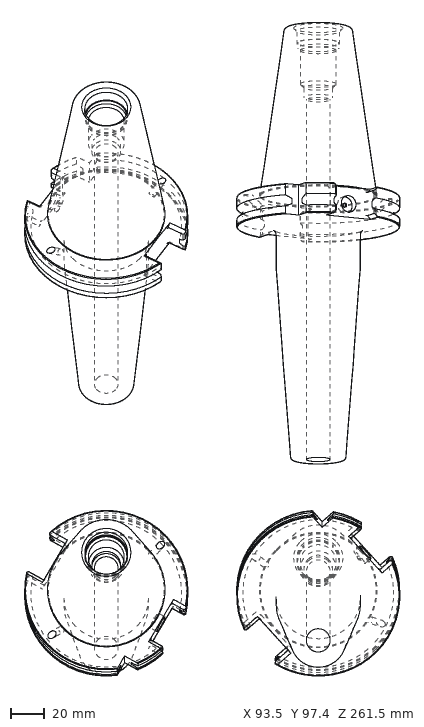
import cadquery as cq
import math

TOTAL_HEIGHT = 261.5
CONE_LENGTH = 101.5
FLANGE_TOP_DROP = 1.0
FLANGE_THICKNESS = 18.3
GROOVE_DROP = 10.2
NOSE_HEIGHT = 57.3
BODY_TAPER_TOP = 115.0

GAUGE_HEIGHT = TOTAL_HEIGHT - CONE_LENGTH
FLANGE_TOP = GAUGE_HEIGHT - FLANGE_TOP_DROP
FLANGE_BOTTOM = FLANGE_TOP - FLANGE_THICKNESS
GROOVE_HEIGHT = FLANGE_TOP - GROOVE_DROP

CONE_SLOPE = 7 / 48
GAUGE_RADIUS = 35.0
CONE_TOP_RADIUS = GAUGE_RADIUS - CONE_SLOPE * CONE_LENGTH
CONE_RIM_FILLET = 2.4
UNDERCUT_RADIUS = 34.5
UNDERCUT_FLARE = 1.8
UNDERCUT_FLARE_HEIGHT = 0.5
NECK_RADIUS = 25.0
NECK_FILLET = 4.7
NOSE_TOP_RADIUS = 21.0
NOSE_RADIUS = 16.5
NOSE_EDGE_FILLET = 1.5

FLANGE_RADIUS = 48.7
FLANGE_EDGE_CHAMFER = 0.5
GROOVE_FLOOR_RADIUS = 45.0
GROOVE_MOUTH_HALF = 3.5
GROOVE_FLOOR_HALF = 1.5
GROOVE_FILLET = 1.0

SLOT_HALF_WIDTH = 12.8
SLOT_FLOOR_LEFT = 37.7
SLOT_FLOOR_RIGHT = 35.3
SLOT_CORNER_FILLET = 1.0
SLOT_END_CHAMFER = 2.0
SLOT_TIP_START = 45.8
NOTCH_OFFSET = 29.5
RECESS_DIAMETER = 10.0
RECESS_DEPTH = 4.7
DIMPLE_DIAMETER = 2.4
DIMPLE_DEPTH = 1.0
COOLANT_DIAMETER = 4.0
COOLANT_DEPTH = 10.5
COOLANT_CIRCLE_RADIUS = 42.5
COOLANT_ANGLES = (70, 250)
COOLANT_TILT = 45

MOUTH_RADIUS = 14.6
COUNTERBORE_RADIUS = 12.8
COUNTERBORE_DEPTH = 9.2
PILOT_RADIUS = 12.3
PILOT_DEPTH = 12.0
THREAD_RADIUS = 10.7
THREAD_DEPTH = 34.0
DEEP_BORE_RADIUS = 8.6
DEEP_BORE_DEPTH = 41.9
THROUGH_RADIUS = 7.0

CUT_MARGIN = 2.5


def make_body():
    """Revolve the outer profile, then round its rims."""
    rim = FLANGE_RADIUS - FLANGE_EDGE_CHAMFER
    fillet_mid = NECK_FILLET * (1 - math.sqrt(0.5))
    profile = (
        cq.Workplane("XZ")
        .moveTo(0, 0)
        .lineTo(NOSE_RADIUS, 0)
        .lineTo(NOSE_TOP_RADIUS, NOSE_HEIGHT)
        .lineTo(NECK_RADIUS, BODY_TAPER_TOP)
        .lineTo(NECK_RADIUS, FLANGE_BOTTOM - NECK_FILLET)
        .threePointArc(
            (NECK_RADIUS + fillet_mid, FLANGE_BOTTOM - fillet_mid),
            (NECK_RADIUS + NECK_FILLET, FLANGE_BOTTOM),
        )
        .lineTo(rim, FLANGE_BOTTOM)
        .lineTo(FLANGE_RADIUS, FLANGE_BOTTOM + FLANGE_EDGE_CHAMFER)
        .lineTo(FLANGE_RADIUS, GROOVE_HEIGHT - GROOVE_MOUTH_HALF)
        .lineTo(GROOVE_FLOOR_RADIUS, GROOVE_HEIGHT - GROOVE_FLOOR_HALF)
        .lineTo(GROOVE_FLOOR_RADIUS, GROOVE_HEIGHT + GROOVE_FLOOR_HALF)
        .lineTo(FLANGE_RADIUS, GROOVE_HEIGHT + GROOVE_MOUTH_HALF)
        .lineTo(FLANGE_RADIUS, FLANGE_TOP - FLANGE_EDGE_CHAMFER)
        .lineTo(rim, FLANGE_TOP)
        .lineTo(UNDERCUT_RADIUS + UNDERCUT_FLARE, FLANGE_TOP)
        .lineTo(UNDERCUT_RADIUS, FLANGE_TOP + UNDERCUT_FLARE_HEIGHT)
        .lineTo(UNDERCUT_RADIUS, GAUGE_HEIGHT)
        .lineTo(GAUGE_RADIUS, GAUGE_HEIGHT)
        .lineTo(CONE_TOP_RADIUS, TOTAL_HEIGHT)
        .lineTo(0, TOTAL_HEIGHT)
        .close()
    )
    body = profile.revolve(360, (0, 0, 0), (0, 1, 0))
    floor_size = 2 * GROOVE_FLOOR_RADIUS
    groove_floor = cq.selectors.BoxSelector(
        (-floor_size, -floor_size, GROOVE_HEIGHT - GROOVE_FLOOR_HALF / 2),
        (floor_size, floor_size, GROOVE_HEIGHT + GROOVE_FLOOR_HALF / 2),
    )
    body = body.faces(groove_floor).edges("%CIRCLE").fillet(GROOVE_FILLET)
    body = body.faces(">Z").edges().fillet(CONE_RIM_FILLET)
    return body.faces("<Z").edges().fillet(NOSE_EDGE_FILLET)


def make_bore():
    """Stepped bore with a 45 degree mouth and 45 degree seats, open at both ends."""
    mouth_depth = MOUTH_RADIUS - COUNTERBORE_RADIUS
    thread_start = PILOT_DEPTH + PILOT_RADIUS - THREAD_RADIUS
    deep_bore_start = THREAD_DEPTH + THREAD_RADIUS - DEEP_BORE_RADIUS
    through_start = DEEP_BORE_DEPTH + DEEP_BORE_RADIUS - THROUGH_RADIUS
    steps = [
        (MOUTH_RADIUS, 0),
        (COUNTERBORE_RADIUS, mouth_depth),
        (COUNTERBORE_RADIUS, COUNTERBORE_DEPTH),
        (PILOT_RADIUS, COUNTERBORE_DEPTH),
        (PILOT_RADIUS, PILOT_DEPTH),
        (THREAD_RADIUS, thread_start),
        (THREAD_RADIUS, THREAD_DEPTH),
        (DEEP_BORE_RADIUS, deep_bore_start),
        (DEEP_BORE_RADIUS, DEEP_BORE_DEPTH),
        (THROUGH_RADIUS, through_start),
        (THROUGH_RADIUS, TOTAL_HEIGHT),
        (0, TOTAL_HEIGHT),
    ]
    outline = cq.Workplane("XZ").moveTo(0, TOTAL_HEIGHT)
    for radius, depth in steps:
        outline = outline.lineTo(radius, TOTAL_HEIGHT - depth)
    return outline.close().revolve(360, (0, 0, 0), (0, 1, 0))


def make_slot(side, floor):
    """Drive slot on one side (+1 or -1 along X) with chamfered wall edges."""
    outer = FLANGE_RADIUS + CUT_MARGIN
    flare = outer - SLOT_TIP_START
    slot_height = FLANGE_THICKNESS + UNDERCUT_FLARE_HEIGHT
    slot = (
        cq.Workplane("XY")
        .workplane(offset=FLANGE_BOTTOM)
        .center(side * (floor + outer) / 2, 0)
        .rect(outer - floor, 2 * SLOT_HALF_WIDTH)
        .extrude(slot_height)
        .edges("|Z and " + ("<X" if side > 0 else ">X"))
        .fillet(SLOT_CORNER_FILLET)
    )
    tip = (
        cq.Workplane("XY")
        .workplane(offset=FLANGE_BOTTOM)
        .moveTo(side * SLOT_TIP_START, 0)
        .lineTo(side * SLOT_TIP_START, SLOT_HALF_WIDTH)
        .lineTo(side * outer, SLOT_HALF_WIDTH + flare)
        .lineTo(side * outer, -SLOT_HALF_WIDTH - flare)
        .lineTo(side * SLOT_TIP_START, -SLOT_HALF_WIDTH)
        .close()
        .extrude(FLANGE_THICKNESS)
    )
    slot = slot.union(tip)
    wide = SLOT_HALF_WIDTH + SLOT_END_CHAMFER
    for height, inward in ((FLANGE_TOP, -1), (FLANGE_BOTTOM, 1)):
        bevel = (
            cq.Workplane("YZ")
            .workplane(offset=side * floor)
            .moveTo(-wide, height)
            .lineTo(wide, height)
            .lineTo(SLOT_HALF_WIDTH, height + inward * SLOT_END_CHAMFER)
            .lineTo(-SLOT_HALF_WIDTH, height + inward * SLOT_END_CHAMFER)
            .close()
            .extrude(side * (outer - floor))
        )
        slot = slot.union(bevel)
    return slot


def make_notch():
    """Orientation notch through the full flange at the -X, +Y corner."""
    size = FLANGE_RADIUS
    notch = cq.Workplane("XY").box(size, size, FLANGE_THICKNESS, centered=False)
    return notch.translate((-NOTCH_OFFSET - size, NOTCH_OFFSET, FLANGE_BOTTOM))


def make_chip_recess():
    """Round recess with a centre dimple in the floor of the -X slot."""
    floor = cq.Workplane("YZ", origin=(-SLOT_FLOOR_LEFT, 0, GROOVE_HEIGHT))
    recess = floor.circle(RECESS_DIAMETER / 2).extrude(RECESS_DEPTH)
    dimple = floor.circle(DIMPLE_DIAMETER / 2).extrude(RECESS_DEPTH + DIMPLE_DEPTH)
    return recess.union(dimple)


def make_coolant_hole(angle):
    """Blind hole in the flange top, leaning toward the axis as it goes down."""
    hole = (
        cq.Workplane("XY")
        .workplane(offset=-COOLANT_DEPTH)
        .circle(COOLANT_DIAMETER / 2)
        .extrude(COOLANT_DEPTH + CUT_MARGIN)
    )
    hole = hole.rotate((0, 0, 0), (0, 1, 0), COOLANT_TILT)
    hole = hole.translate((COOLANT_CIRCLE_RADIUS, 0, FLANGE_TOP))
    return hole.rotate((0, 0, 0), (0, 0, 1), angle)


result = make_body()
result = result.cut(make_bore())
result = result.cut(make_slot(-1, SLOT_FLOOR_LEFT))
result = result.cut(make_slot(1, SLOT_FLOOR_RIGHT))
result = result.cut(make_notch())
result = result.cut(make_chip_recess())
for hole_angle in COOLANT_ANGLES:
    result = result.cut(make_coolant_hole(hole_angle))